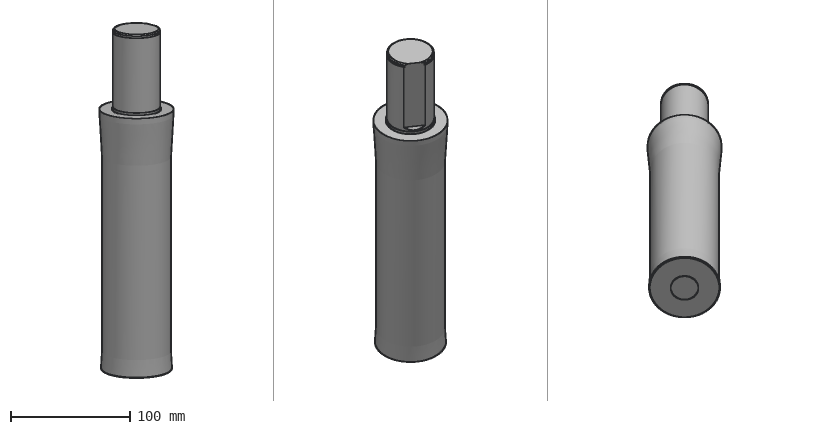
import cadquery as cq

BOSS_HEIGHT = 1.0
FOOT_TOP_Z = 16.5
COLLAR_BOTTOM_Z = 185.5
COLLAR_TAPER_TOP_Z = 222.2
COLLAR_TOP_Z = 227.2
ROD_TOP_Z = 297.0

BODY_RADIUS = 58.2 / 2
COLLAR_RADIUS = 62.5 / 2
FOOT_RADIUS = 60.0 / 2
FOOT_CHAMFER = 1.0
BOSS_RADIUS = 23.2 / 2
SOCKET_DEPTH = 17.8
MOUTH_CHAMFER = 1.2

ROD_RADIUS = 40.0 / 2
NECK_RADIUS = 39.5 / 2
NECK_HEIGHT = 1.8
TIP_CHAMFER = 1.2
TIP_RADIUS = 39.5 / 2
TIP_HEIGHT = 3.0
TIP_BOTTOM_Z = ROD_TOP_Z - TIP_HEIGHT
FLAT_Y = 17.8
FLAT_RAMP_START_Z = COLLAR_TOP_Z + 3.3
SOCKET_BOTTOM_Z = COLLAR_TOP_Z - SOCKET_DEPTH
NECK_TOP_Z = COLLAR_TOP_Z + NECK_HEIGHT


def make_housing():
    """Turned tube with a flared foot, a tapered collar and a blind socket."""
    return (
        cq.Workplane("XZ")
        .lineTo(BOSS_RADIUS, 0)
        .lineTo(BOSS_RADIUS, BOSS_HEIGHT)
        .lineTo(FOOT_RADIUS - FOOT_CHAMFER, BOSS_HEIGHT)
        .lineTo(FOOT_RADIUS, BOSS_HEIGHT + FOOT_CHAMFER)
        .lineTo(BODY_RADIUS, FOOT_TOP_Z)
        .lineTo(BODY_RADIUS, COLLAR_BOTTOM_Z)
        .lineTo(COLLAR_RADIUS, COLLAR_TAPER_TOP_Z)
        .lineTo(COLLAR_RADIUS, COLLAR_TOP_Z)
        .lineTo(NECK_RADIUS + MOUTH_CHAMFER, COLLAR_TOP_Z)
        .lineTo(NECK_RADIUS, COLLAR_TOP_Z - MOUTH_CHAMFER)
        .lineTo(NECK_RADIUS, SOCKET_BOTTOM_Z)
        .lineTo(0, SOCKET_BOTTOM_Z)
        .close()
        .revolve(360, (0, 0, 0), (0, 1, 0))
    )


def make_flat_cutter():
    """Wedge-ended block that leaves a flat on the +Y side of the rod."""
    ramp_run = ROD_RADIUS - FLAT_Y
    return (
        cq.Workplane("YZ")
        .moveTo(FLAT_Y, ROD_TOP_Z)
        .lineTo(FLAT_Y, FLAT_RAMP_START_Z + ramp_run)
        .lineTo(ROD_RADIUS, FLAT_RAMP_START_Z)
        .lineTo(ROD_RADIUS, ROD_TOP_Z)
        .close()
        .extrude(ROD_RADIUS, both=True)
    )


def make_rod():
    """Rod with a narrower neck and chamfered tip, and with a flat along one side."""
    rod = (
        cq.Workplane("XZ")
        .moveTo(0, SOCKET_BOTTOM_Z)
        .lineTo(NECK_RADIUS, SOCKET_BOTTOM_Z)
        .lineTo(NECK_RADIUS, NECK_TOP_Z)
        .lineTo(ROD_RADIUS, NECK_TOP_Z)
        .lineTo(ROD_RADIUS, TIP_BOTTOM_Z)
        .lineTo(TIP_RADIUS, TIP_BOTTOM_Z)
        .lineTo(TIP_RADIUS, ROD_TOP_Z - TIP_CHAMFER)
        .lineTo(TIP_RADIUS - TIP_CHAMFER, ROD_TOP_Z)
        .lineTo(0, ROD_TOP_Z)
        .close()
        .revolve(360, (0, SOCKET_BOTTOM_Z, 0), (0, ROD_TOP_Z, 0))
    )
    return rod.cut(make_flat_cutter())


housing = make_housing()
rod = make_rod()

result = cq.Compound.makeCompound([housing.val(), rod.val()])